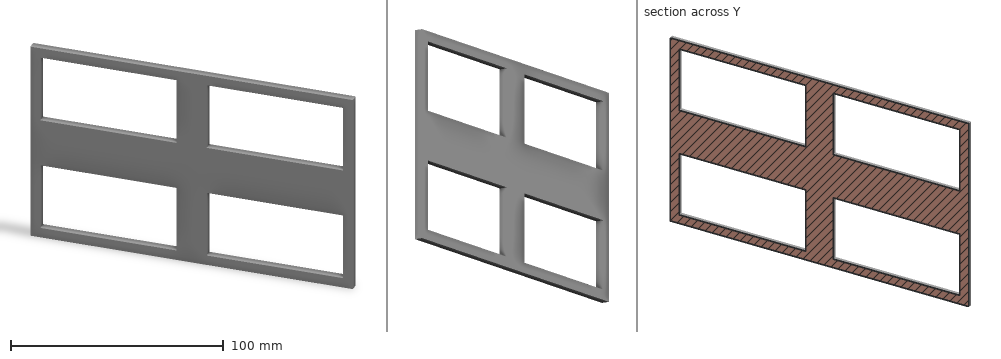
import cadquery as cq

width = 160.8
thickness = 4.0
height = 100.8

border = 5.0
upright_width = 15.0
crossbar_height = 24.0

window_width = (width - 2 * border - upright_width) / 2
window_height = (height - 2 * border - crossbar_height) / 2
window_spacing_x = window_width + upright_width
window_spacing_z = window_height + crossbar_height


def make_plate():
    """Flat upright plate centred on the origin."""
    return cq.Workplane("XY").box(width, thickness, height)


def cut_windows(plate):
    """Cut the two-by-two grid of rectangular windows through the thickness."""
    return (
        plate.faces("<Y")
        .workplane(centerOption="CenterOfBoundBox")
        .rarray(window_spacing_x, window_spacing_z, 2, 2)
        .rect(window_width, window_height)
        .cutThruAll()
    )


result = cut_windows(make_plate())